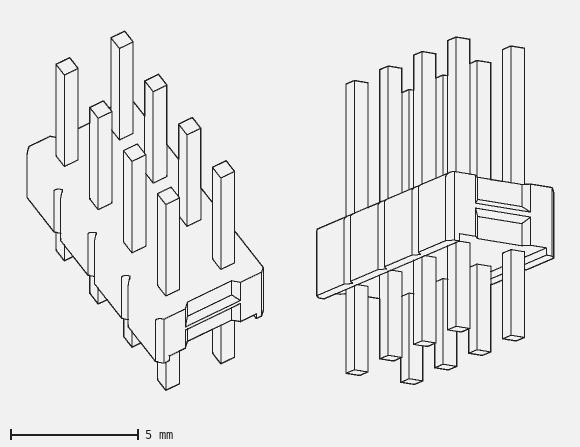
import cadquery as cq

columns = 4
rows = 2
overall_length = 10.16
pitch = overall_length / columns
pin_width = 0.64
pin_above = 5.8
pin_below = 3.2

housing_width = 5.0
housing_height = 11.8 - pin_above - pin_below
top_round = 0.21
groove_depth = 0.25

foot_width = 0.5
channel_depth = 0.3
channel_width = housing_width - 2 * foot_width

recess_width = pitch
recess_depth = 0.25
ridge_width = 0.2
ridge_height = (housing_height + channel_depth) / 2


def housing_block():
    """Plain block with its long top edges rounded."""
    block = cq.Workplane("XY").box(
        overall_length, housing_width, housing_height, centered=(True, True, False)
    )
    return block.edges("|X and >Z").fillet(top_round)


def side_groove(x, side):
    """Vertical V groove at x in the long side facing side * Y."""
    face_y = side * housing_width / 2
    tip_y = face_y - side * groove_depth
    outline = [(x - groove_depth, face_y), (x, tip_y), (x + groove_depth, face_y)]
    return cq.Workplane("XY").polyline(outline).close().extrude(housing_height)


def underside_channel():
    """Rectangular channel running the full length of the underside."""
    return cq.Workplane("XY").box(
        overall_length, channel_width, channel_depth, centered=(True, True, False)
    )


def end_recess(side):
    """Tapered recess in the end facing side * X, less the ridge that crosses it."""
    face_x = side * overall_length / 2
    floor_x = face_x - side * recess_depth
    mouth = recess_width / 2
    floor = mouth - recess_depth
    recess_outline = [(face_x, -mouth), (floor_x, -floor), (floor_x, floor), (face_x, mouth)]
    recess = cq.Workplane("XY").polyline(recess_outline).close().extrude(housing_height)

    crest = ridge_width / 2
    base = crest + recess_depth
    ridge_outline = [
        (face_x, ridge_height - crest),
        (floor_x, ridge_height - base),
        (floor_x, ridge_height + base),
        (face_x, ridge_height + crest),
    ]
    ridge = cq.Workplane("XZ").polyline(ridge_outline).close().extrude(recess_width / 2, both=True)
    return recess.cut(ridge)


def pins():
    """Square pins on the pitch grid, passing right through the housing."""
    length = pin_below + housing_height + pin_above
    return (
        cq.Workplane("XY", origin=(0, 0, -pin_below))
        .rarray(pitch, pitch, columns, rows)
        .rect(pin_width, pin_width)
        .extrude(length)
    )


result = housing_block().cut(underside_channel())

for boundary in range(columns + 1):
    groove_x = boundary * pitch - overall_length / 2
    for side in (-1, 1):
        result = result.cut(side_groove(groove_x, side))

for side in (-1, 1):
    result = result.cut(end_recess(side))

result = result.union(pins())